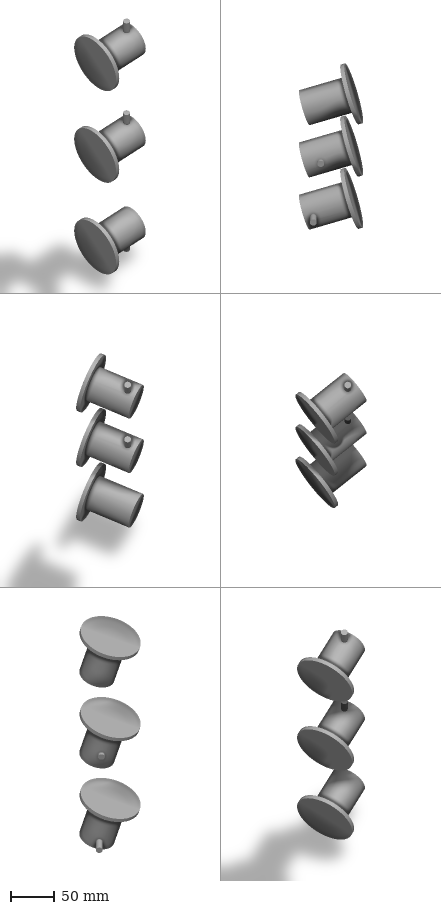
import cadquery as cq

overall_height = 374.0
handle_pitch = 150.0

plate_diameter = 72.0
plate_thickness = 5.0

knob_diameter = 42.3
knob_length = 60.0

pin_diameter = 8.0
pin_inset = 11.0
pin_reach = overall_height / 2 - handle_pitch
button_diameter = 8.0
button_inset = 20.0
button_reach = 25.0

UP = 1
DOWN = -1


def cylinder_along_y(diameter, length):
    """Cylinder on the Y axis, from Y = 0 to Y = length."""
    return cq.Workplane("XZ").circle(diameter / 2).extrude(-length)


def radial_post(diameter, inset, reach, direction):
    """Post from the knob axis up or down, placed from the knob's rear end."""
    return (
        cq.Workplane("XY", origin=(0, knob_length - inset, 0))
        .circle(diameter / 2)
        .extrude(direction * reach)
    )


def make_plate():
    """Round wall plate with a hole that fits the knob."""
    plate = cylinder_along_y(plate_diameter, plate_thickness)
    return plate.cut(cylinder_along_y(knob_diameter, plate_thickness))


def make_knob(pin_direction, has_button):
    """Knob with its lever pin and, if wanted, a stop button opposite the pin."""
    knob = cylinder_along_y(knob_diameter, knob_length)
    knob = knob.union(radial_post(pin_diameter, pin_inset, pin_reach, pin_direction))
    if has_button:
        button = radial_post(button_diameter, button_inset, button_reach, -pin_direction)
        knob = knob.union(button)
    return knob


handles = [
    (handle_pitch, UP, False),
    (0, UP, True),
    (-handle_pitch, DOWN, False),
]

bodies = []
for height, pin_direction, has_button in handles:
    position = (0, 0, height)
    plate = make_plate().translate(position)
    knob = make_knob(pin_direction, has_button).translate(position)
    bodies.append(plate.val())
    bodies.append(knob.val())

result = cq.Compound.makeCompound(bodies)